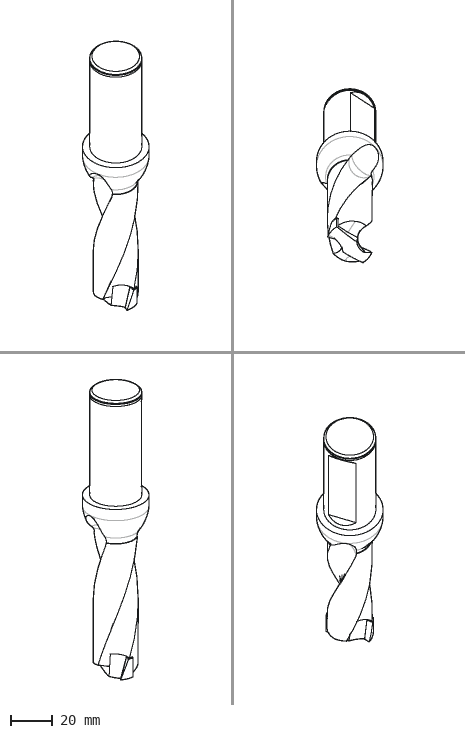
import cadquery as cq
import math

TOTAL_LENGTH = 153.0
SHANK_LENGTH = 56.0
COLLAR_HEIGHT = 6.0
COLLAR_TOP_Z = TOTAL_LENGTH - SHANK_LENGTH
COLLAR_BOTTOM_Z = COLLAR_TOP_Z - COLLAR_HEIGHT
NECK_TOP_Z = 79.6
NECK_BOTTOM_Z = 76.0

SHANK_RADIUS = 12.5
COLLAR_RADIUS = 16.0
BODY_RADIUS = 10.8
NECK_RADIUS = 10.5
NECK_TOP_RADIUS = 11.6
NECK_FILLET_RADIUS = 6.3
BELL_ARC_RADIUS = 23.0

CHAMFER_WIDTH = 1.1
CHAMFER_HEIGHT = 1.0
GROOVE_TOP_Z = 151.4
GROOVE_BOTTOM_Z = 150.3
GROOVE_DEPTH = 0.6

FLAT_DEPTH = 2.2
FLAT_BOTTOM_Z = 102.1
FLAT_TOP_Z = 147.6

FLUTE_COUNT = 2
FLUTE_LEAD = 188.0
FLUTE_RADIUS = 7.0
FLUTE_CENTER_RADIUS = 10.8
FLUTE_END_Z = 76.0
FLUTE_OVERRUN = 12.0
RUNOUT_LIFT = 41.0
RUNOUT_TILT = 27.0
RUNOUT_LENGTH = 40.0

INSERT_RADIUS = 11.4
INSERT_THICKNESS = 8.2
INSERT_HALF = INSERT_THICKNESS / 2
INSERT_TOP_Z = 13.8
POINT_HEIGHT = 3.5

LAND_INNER_X = 8.1
LAND_INNER_Y_BOTTOM = -2.15
LAND_INNER_Y_TOP = 1.75
LAND_OUTER_Y_BOTTOM = -4.5
LAND_OUTER_Y_TOP = 1.2

END_FACE_Z = 5.5
END_FACE_SLOPE = 0.36
RELIEF_SLOPE = 0.22
RELIEF_START_X = -4.0


def copies_per_flute(shape):
    """The shape repeated around the tool axis, once for each flute."""
    return [shape.rotate((0, 0, 0), (0, 0, 1), 360 * index / FLUTE_COUNT) for index in range(FLUTE_COUNT)]


def turned_blank():
    return (
        cq.Workplane("XZ")
        .lineTo(BODY_RADIUS, 0)
        .lineTo(BODY_RADIUS, NECK_BOTTOM_Z)
        .lineTo(NECK_RADIUS, NECK_BOTTOM_Z)
        .radiusArc((NECK_TOP_RADIUS, NECK_TOP_Z), NECK_FILLET_RADIUS)
        .radiusArc((COLLAR_RADIUS, COLLAR_BOTTOM_Z), -BELL_ARC_RADIUS)
        .lineTo(COLLAR_RADIUS, COLLAR_TOP_Z)
        .lineTo(SHANK_RADIUS, COLLAR_TOP_Z)
        .lineTo(SHANK_RADIUS, GROOVE_BOTTOM_Z)
        .lineTo(SHANK_RADIUS - GROOVE_DEPTH, GROOVE_TOP_Z)
        .lineTo(SHANK_RADIUS, GROOVE_TOP_Z)
        .lineTo(SHANK_RADIUS, TOTAL_LENGTH - CHAMFER_HEIGHT)
        .lineTo(SHANK_RADIUS - CHAMFER_WIDTH, TOTAL_LENGTH)
        .lineTo(0, TOTAL_LENGTH)
        .close()
        .revolve(360, (0, 0), (0, 1))
    )


def clamping_flat():
    flat_y = SHANK_RADIUS - FLAT_DEPTH
    reach = 2 * FLAT_DEPTH
    return (
        cq.Workplane("YZ")
        .moveTo(flat_y, FLAT_BOTTOM_Z)
        .lineTo(flat_y + reach, FLAT_BOTTOM_Z - reach)
        .lineTo(flat_y + reach, FLAT_TOP_Z + reach)
        .lineTo(flat_y, FLAT_TOP_Z)
        .close()
        .extrude(SHANK_RADIUS, both=True)
    )


def helical_groove():
    """A round bar along the helix, starting below the tip and ending on the -Y side."""
    height = FLUTE_END_Z + FLUTE_OVERRUN
    end_angle = -90
    start_angle = end_angle - 360 * height / FLUTE_LEAD
    rise_angle = math.atan2(FLUTE_LEAD, 2 * math.pi * FLUTE_CENTER_RADIUS)
    helix = cq.Wire.makeHelix(FLUTE_LEAD, height, FLUTE_CENTER_RADIUS)
    section_plane = cq.Plane(
        origin=(FLUTE_CENTER_RADIUS, 0, 0),
        xDir=(1, 0, 0),
        normal=(0, math.cos(rise_angle), math.sin(rise_angle)),
    )
    return (
        cq.Workplane(section_plane)
        .circle(FLUTE_RADIUS)
        .sweep(cq.Workplane(obj=helix), isFrenet=True)
        .rotate((0, 0, 0), (0, 0, 1), start_angle)
        .translate((0, 0, -FLUTE_OVERRUN))
    )


def flute_ball_end():
    return cq.Workplane().sphere(FLUTE_RADIUS).translate((0, -FLUTE_CENTER_RADIUS, FLUTE_END_Z))


def flute_runout():
    """A round bar from the ball end, leaning up and outwards through the bell."""
    lift = math.radians(RUNOUT_LIFT)
    tilt = math.radians(RUNOUT_TILT)
    plane = cq.Plane(
        origin=(0, -FLUTE_CENTER_RADIUS, FLUTE_END_Z),
        xDir=(math.cos(tilt), 0, -math.sin(tilt)),
        normal=(math.sin(tilt) * math.cos(lift), -math.sin(lift), math.cos(tilt) * math.cos(lift)),
    )
    return cq.Workplane(plane).circle(FLUTE_RADIUS).extrude(RUNOUT_LENGTH)


def insert_plate(radius):
    """A plate standing across the axis, long enough for the given radius."""
    return cq.Workplane().box(2 * radius, INSERT_THICKNESS, INSERT_TOP_Z, centered=(True, True, False))


def end_face_cutter():
    """Everything below the main end face and its relief facet on the -Y side of the body."""
    reach = 2 * BODY_RADIUS
    axis_z = END_FACE_Z - END_FACE_SLOPE * INSERT_HALF
    outer_z = axis_z + END_FACE_SLOPE * reach
    main = (
        cq.Workplane("YZ")
        .moveTo(0, -reach)
        .lineTo(0, axis_z)
        .lineTo(-reach, outer_z)
        .lineTo(-reach, -reach)
        .close()
        .extrude(reach, both=True)
    )
    relief_length = reach - RELIEF_START_X
    rise = RELIEF_SLOPE * relief_length
    relief = (
        cq.Workplane("YZ", origin=(RELIEF_START_X, 0, 0))
        .polyline([(0, -reach), (0, axis_z), (-reach, outer_z), (-reach, -reach)])
        .close()
        .workplane(offset=relief_length)
        .polyline([(0, -reach), (0, axis_z + rise), (-reach, outer_z + rise), (-reach, -reach)])
        .close()
        .loft(ruled=True)
    )
    return main.union(relief)


def land_wedge():
    """The metal kept behind the twisted land at the +X cutting edge."""
    return (
        cq.Workplane()
        .polyline([
            (LAND_INNER_X, INSERT_HALF),
            (LAND_INNER_X, LAND_INNER_Y_BOTTOM),
            (INSERT_RADIUS, LAND_OUTER_Y_BOTTOM),
            (INSERT_RADIUS, INSERT_HALF),
        ])
        .close()
        .workplane(offset=INSERT_TOP_Z)
        .polyline([
            (LAND_INNER_X, INSERT_HALF),
            (LAND_INNER_X, LAND_INNER_Y_TOP),
            (INSERT_RADIUS, LAND_OUTER_Y_TOP),
            (INSERT_RADIUS, INSERT_HALF),
        ])
        .close()
        .loft(ruled=True)
    )


def make_drill_body():
    shape = turned_blank().cut(clamping_flat())
    shape = shape.cut(insert_plate(COLLAR_RADIUS))
    for part in (end_face_cutter(), helical_groove(), flute_ball_end(), flute_runout()):
        for cutter in copies_per_flute(part):
            shape = shape.cut(cutter)
    return shape


def make_insert():
    pointed_cylinder = (
        cq.Workplane("XZ")
        .lineTo(INSERT_RADIUS, POINT_HEIGHT)
        .lineTo(INSERT_RADIUS, INSERT_TOP_Z)
        .lineTo(0, INSERT_TOP_Z)
        .close()
        .revolve(360, (0, 0), (0, 1))
    )
    blank = pointed_cylinder.intersect(insert_plate(INSERT_RADIUS))
    shape = blank
    for groove in copies_per_flute(helical_groove()):
        shape = shape.cut(groove)
    for wedge in copies_per_flute(land_wedge()):
        shape = shape.union(blank.intersect(wedge))
    return shape


drill_body = make_drill_body()
insert = make_insert()

result = cq.Compound.makeCompound([drill_body.solids().val(), insert.solids().val()])